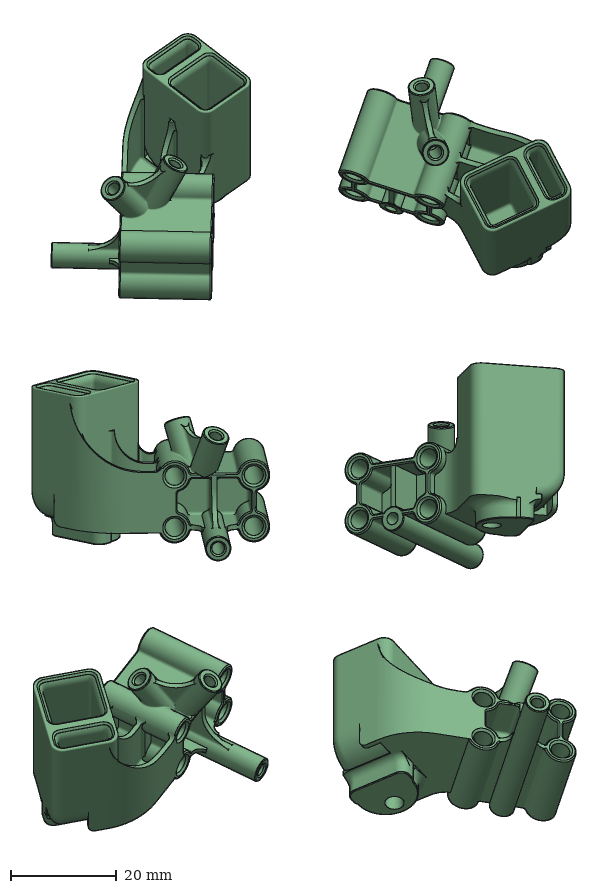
import cadquery as cq
import math

TURN = 30.0

TUBE_LENGTH = 17.5
TUBE_DIAMETER = 6.0
TUBE_RADIUS = TUBE_DIAMETER / 2
TUBE_BORE = 3.6
TUBE_BORE_CHAMFER = 0.45
TUBE_ROWS = 15.0
TUBE_LEVELS = 10.0
WALL = 1.0
FILLET = 0.6
CELL_DEPTH = (TUBE_LENGTH - WALL) / 2
EDGE_CHAMFER = 0.25

NOZZLE_RADIUS = 2.4
NOZZLE_BORE = 2.4
NOZZLE_REACH = 13.0
NOZZLE_Z = -10.95
NOZZLE_Y = -TUBE_ROWS / 2
SMALL_BORE_CHAMFER = 0.3
SMALL_EDGE_CHAMFER = 0.2
RIB_SWEEP = 5.95
RIB_TIP_SINK = 0.05
GUSSET_SWEEP = 2.0

PORT_MID_X = 4.45
PORT_MID_Y = -4.4
PORT_HEADING = 30.0
PORT_TILT = 30.0
PORT_SPREAD = 6.77
PORT_TOP_Z = 8.35
PORT_RADIUS = 2.55
PORT_BASE_FILLET = 0.22
PORT_BORE_DEPTH = 8.9
PORT_RIB_SAG_Z = 6.5
PORT_RIB_RADIUS = 5.35

HEIGHT = 30.0
TOP_Z = HEIGHT / 2
BASE_Z = -10.95
FOOT_Z = -HEIGHT / 2
FLOOR_Z = BASE_Z + WALL

BOX_TURN = -45.0
BOX_LENGTH = 18.45
BOX_WIDTH = 13.05
BOX_CORNER = 2.2
BOX_ROUND = 6.0
BOX_WALL = 1.8
SMALL_POCKET = 2.35
BIG_POCKET = 8.95
POCKET_CORNER = 0.62
LIP_RADIUS = 1.95
LIP_OFFSET = 0.7
LIP_CHAMFER = 0.4
SKIRT_END = 6.25
SKIRT_CORNER = 1.5
HOLE_X = 12.95
HOLE_DIAMETER = 3.6
HOLE_CHAMFER = 0.45

FOOT_LEFT = 6.0
FOOT_CORNER = 1.85
FOOT_STRAIGHT_END = 9.2
FOOT_ARC_X = 9.8
FOOT_ARC_RADIUS = 6.2
FOOT_FILLET = 1.5

OUTER_START_Y = 9.45
OUTER_RADIUS = 14.35
MIDDLE_CENTRE = (16.65, 5.95)
MIDDLE_RADIUS = 9.4
RIGHT_INNER_RADIUS = 6.0
WALL_LOW_Z = 0.85
CAVITY_START_Y = 2.75
WALL_TUBE_FILLET = 1.5
OUTER_RISE_Y = 5.53
MIDDLE_RISE_Y = 4.85
RIGHT_RISE_Y = 3.8
MIDDLE_RISE = 6.0
RIGHT_RISE = 2.25

C45 = math.sqrt(0.5)
OUTER_CENTRE = (OUTER_RADIUS, OUTER_START_Y)
BOX_ORIGIN = (
    OUTER_CENTRE[0] - (OUTER_RADIUS + BOX_CORNER) * C45,
    OUTER_CENTRE[1] + (OUTER_RADIUS - BOX_CORNER) * C45,
)


def box_to_block(along, across):
    """Plan point of the box frame in the block frame."""
    return (BOX_ORIGIN[0] + (along + across) * C45, BOX_ORIGIN[1] + (across - along) * C45)


RIGHT_RADIUS = RIGHT_INNER_RADIUS + WALL
RIGHT_CENTRE = box_to_block(BOX_LENGTH + RIGHT_INNER_RADIUS, BOX_CORNER)


def place_box(shape):
    """Move a shape from the box frame into the block frame."""
    return shape.rotate((0, 0, 0), (0, 0, 1), BOX_TURN).translate((*BOX_ORIGIN, 0))


def on_circle(centre, radius, degrees):
    angle = math.radians(degrees)
    return (centre[0] + radius * math.cos(angle), centre[1] + radius * math.sin(angle))


def tube_fillet(half_web, fillet, radius=TUBE_RADIUS):
    """Fillet between a tube and a web on its axis: tangent point on web, middle, tangent on tube."""
    reach = radius + fillet
    rise = half_web + fillet
    run = math.sqrt(reach**2 - rise**2)
    middle = (math.atan2(-rise, -run) - math.pi / 2) / 2
    on_web = (run, half_web)
    mid_point = (run + fillet * math.cos(middle), rise + fillet * math.sin(middle))
    on_tube = (run * radius / reach, rise * radius / reach)
    return on_web, mid_point, on_tube


def web(length):
    """Web between two tube axes, flared where it meets the tubes; runs along +X of the sketch."""
    half = WALL / 2
    on_web, mid_point, on_tube = tube_fillet(half, FILLET)
    return (
        cq.Workplane("YZ")
        .moveTo(0, on_tube[1])
        .lineTo(*on_tube)
        .threePointArc(mid_point, on_web)
        .lineTo(length - on_web[0], half)
        .threePointArc((length - mid_point[0], mid_point[1]), (length - on_tube[0], on_tube[1]))
        .lineTo(length, on_tube[1])
        .lineTo(length, 0)
        .lineTo(0, 0)
        .close()
        .extrude(TUBE_LENGTH)
    )


def full_web(length, y, z, angle):
    half = web(length)
    return half.union(half.mirror("XY")).rotate((0, 0, 0), (1, 0, 0), angle).translate((0, y, z))


TUBE_AXES = [(y, z) for y in (0, -TUBE_ROWS) for z in (0, -TUBE_LEVELS)]


def tube_frame():
    frame = full_web(TUBE_ROWS, -TUBE_ROWS, 0, 0)
    frame = frame.union(full_web(TUBE_ROWS, -TUBE_ROWS, -TUBE_LEVELS, 0))
    for y in (0, -TUBE_ROWS):
        frame = frame.union(full_web(TUBE_LEVELS, y, -TUBE_LEVELS, 90))
    tubes = cq.Workplane("YZ").pushPoints(TUBE_AXES).circle(TUBE_RADIUS).extrude(TUBE_LENGTH)
    frame = frame.union(tubes).clean()
    return frame.faces("<X or >X").edges().chamfer(EDGE_CHAMFER)


def tube_bores():
    bore = cq.Workplane("YZ").pushPoints(TUBE_AXES).circle(TUBE_BORE / 2).extrude(TUBE_LENGTH)
    mouth = TUBE_BORE / 2 + TUBE_BORE_CHAMFER
    for y, z in TUBE_AXES:
        left = cq.Workplane("YZ", origin=(0, y, z)).circle(mouth).extrude(TUBE_BORE_CHAMFER, taper=45)
        bore = bore.union(left).union(left.mirror("YZ", (TUBE_LENGTH / 2, 0, 0)))
    return bore


def nozzle_axis():
    return cq.Workplane("YZ", origin=(-NOZZLE_REACH, NOZZLE_Y, NOZZLE_Z))


def nozzle():
    length = NOZZLE_REACH + TUBE_LENGTH
    return nozzle_axis().circle(NOZZLE_RADIUS).extrude(length).faces("<X or >X").chamfer(SMALL_EDGE_CHAMFER)


def nozzle_bore():
    bore = nozzle_axis().circle(NOZZLE_BORE / 2).extrude(NOZZLE_REACH + TUBE_LENGTH)
    flare = nozzle_axis().circle(NOZZLE_BORE / 2 + SMALL_BORE_CHAMFER).extrude(SMALL_BORE_CHAMFER, taper=45)
    return bore.union(flare)


def rib_section():
    """Cross-section of the centre rib along the nozzle, flared where it stands on the nozzle."""
    on_web, mid_point, on_tube = tube_fillet(WALL / 2, FILLET, NOZZLE_RADIUS)
    half = (
        cq.Workplane("YZ", origin=(-RIB_SWEEP, NOZZLE_Y, NOZZLE_Z))
        .moveTo(0, 0)
        .lineTo(on_tube[1], 0)
        .lineTo(on_tube[1], on_tube[0])
        .threePointArc((mid_point[1], mid_point[0]), (on_web[1], on_web[0]))
        .lineTo(on_web[1], -NOZZLE_Z)
        .lineTo(0, -NOZZLE_Z)
        .close()
        .extrude(RIB_SWEEP + TUBE_LENGTH - EDGE_CHAMFER)
    )
    return half.union(half.mirror("XZ", (0, NOZZLE_Y, 0)))


def centre_rib():
    """Upright rib from the top web to the nozzle; its left edge sweeps out along the nozzle."""
    tip_z = NOZZLE_Z + NOZZLE_RADIUS - RIB_TIP_SINK
    start_z = tip_z + RIB_SWEEP
    mid = on_circle((-RIB_SWEEP, start_z), RIB_SWEEP, -45)
    side = (
        cq.Workplane("XZ", origin=(0, NOZZLE_Y, 0))
        .moveTo(0, 0)
        .lineTo(0, start_z)
        .threePointArc(mid, (-RIB_SWEEP, tip_z))
        .lineTo(-RIB_SWEEP, NOZZLE_Z)
        .lineTo(TUBE_LENGTH, NOZZLE_Z)
        .lineTo(TUBE_LENGTH, 0)
        .close()
        .extrude(NOZZLE_RADIUS, both=True)
    )
    return side.intersect(rib_section())


def nozzle_gussets():
    """Rounded corners in the lower web's plane between its left edge and the nozzle."""
    gusset = (
        cq.Workplane("XY", origin=(0, NOZZLE_Y, -TUBE_LEVELS))
        .moveTo(0, NOZZLE_RADIUS + GUSSET_SWEEP)
        .threePointArc(
            on_circle((-GUSSET_SWEEP, NOZZLE_RADIUS + GUSSET_SWEEP), GUSSET_SWEEP, -45),
            (-GUSSET_SWEEP, NOZZLE_RADIUS),
        )
        .lineTo(-GUSSET_SWEEP, 0)
        .lineTo(EDGE_CHAMFER, 0)
        .lineTo(EDGE_CHAMFER, NOZZLE_RADIUS + GUSSET_SWEEP)
        .close()
        .extrude(WALL / 2, both=True)
    )
    return gusset.union(gusset.mirror("XZ", (0, NOZZLE_Y, 0)))


def cell(rear_y, front_y):
    """Blind space behind the left end, between two upright webs and the top and bottom webs."""
    half = WALL / 2
    depth = CELL_DEPTH + TUBE_LENGTH
    return (
        cq.Workplane("XY")
        .box(depth, rear_y - front_y - WALL, TUBE_LEVELS - WALL, centered=False)
        .translate((-TUBE_LENGTH, front_y + half, half - TUBE_LEVELS))
        .edges("|X or >X")
        .fillet(FILLET)
    )


def cell_walls():
    """Webs around the cells at the left end, with the cross wall that closes the cells."""
    length = CELL_DEPTH + WALL - EDGE_CHAMFER
    blank = (
        cq.Workplane("XY")
        .box(length, TUBE_ROWS, TUBE_LEVELS, centered=False)
        .translate((EDGE_CHAMFER, -TUBE_ROWS, -TUBE_LEVELS))
    )
    return blank.cut(cell(0, NOZZLE_Y)).cut(cell(NOZZLE_Y, -TUBE_ROWS))


PORT_DROP = PORT_SPREAD / math.tan(math.radians(PORT_TILT))
PORT_REACH = PORT_SPREAD / math.sin(math.radians(PORT_TILT))


def place_port(shape, tilt):
    """Move a shape built along +Z onto the axis of a port leaning by `tilt`."""
    return (
        shape.rotate((0, 0, 0), (0, 1, 0), tilt)
        .translate((0, 0, PORT_TOP_Z - PORT_DROP))
        .rotate((0, 0, 0), (0, 0, 1), PORT_HEADING)
        .translate((PORT_MID_X, PORT_MID_Y, 0))
    )


def ports():
    body = cq.Workplane("XY").circle(PORT_RADIUS).extrude(PORT_REACH)
    body = body.faces(">Z").chamfer(SMALL_EDGE_CHAMFER)
    pair = place_port(body, PORT_TILT).union(place_port(body, -PORT_TILT))
    rib = (
        cq.Workplane("XZ")
        .polyline([(0, 0), (-PORT_SPREAD, PORT_DROP), (PORT_SPREAD, PORT_DROP)])
        .close()
        .extrude(WALL / 2, both=True)
    )
    sag = (
        cq.Workplane("XZ")
        .center(0, PORT_RIB_SAG_Z - PORT_TOP_Z + PORT_DROP + PORT_RIB_RADIUS)
        .circle(PORT_RIB_RADIUS)
        .extrude(WALL, both=True)
    )
    pair = pair.union(place_port(rib.cut(sag), 0))
    above_web = cq.Workplane("XY").box(89.1, 89.1, 44.55, centered=(True, True, False)).translate((0, 0, -WALL / 2))
    pair = pair.intersect(above_web)
    corners = [edge for edge in pair.edges().vals() if is_rib_corner(edge)]
    return pair.newObject(corners).fillet(FILLET)


def is_rib_corner(edge):
    """True for the long straight edges where the rib meets the two ports."""
    return edge.geomType() == "LINE" and edge.Length() > PORT_RADIUS and edge.Center().z > PORT_TOP_Z / 2


def is_port_base(edge):
    """True for the curves where the ports stand on the top web and the rear tube."""
    box = edge.BoundingBox()
    curved = edge.geomType() in ("ELLIPSE", "BSPLINE")
    return curved and box.zmin > WALL / 2 - 0.05 and box.zmax < PORT_TOP_Z / 2 and box.xmax > EDGE_CHAMFER + 0.05


def block_with_ports():
    block = tube_frame().union(cell_walls()).union(ports())
    bases = [edge for edge in block.edges().vals() if is_port_base(edge)]
    return block.newObject(bases).fillet(PORT_BASE_FILLET)


def port_bores():
    bore = cq.Workplane("XY").circle(NOZZLE_BORE / 2).extrude(PORT_BORE_DEPTH)
    flare = (
        cq.Workplane("XY", origin=(0, 0, PORT_BORE_DEPTH - SMALL_BORE_CHAMFER))
        .circle(NOZZLE_BORE / 2)
        .extrude(SMALL_BORE_CHAMFER, taper=-45)
    )
    bore = bore.union(flare).translate((0, 0, PORT_REACH - PORT_BORE_DEPTH))
    return place_port(bore, PORT_TILT).union(place_port(bore, -PORT_TILT))


def wall_plan(centre, radius, inner):
    """Plan of one wall: straight from the rear tubes, then a 45 degree bend into the box."""
    return (
        cq.Workplane("XY", origin=(0, 0, BASE_Z))
        .moveTo(centre[0] - radius, 0)
        .lineTo(centre[0] - radius, centre[1])
        .threePointArc(on_circle(centre, radius, 157.5), on_circle(centre, radius, 135))
        .lineTo(*on_circle(centre, inner, 135))
        .threePointArc(on_circle(centre, inner, 157.5), (centre[0] - inner, centre[1]))
        .lineTo(centre[0] - inner, 0)
        .close()
        .extrude(TOP_Z - BASE_Z)
    )


def wall_side(rise_y, rise):
    """Side profile of a wall: low at the tube, sweeping up a quarter circle at the box."""
    on_web, mid_point, on_tube = tube_fillet(WALL_LOW_Z, WALL_TUBE_FILLET)
    top_z = WALL_LOW_Z + rise
    end_y = rise_y + rise + 2 * BOX_CORNER
    return (
        cq.Workplane("YZ")
        .moveTo(0, BASE_Z)
        .lineTo(0, on_tube[1])
        .lineTo(*on_tube)
        .threePointArc(mid_point, on_web)
        .lineTo(max(rise_y, on_web[0] + 0.005), WALL_LOW_Z)
        .threePointArc(on_circle((rise_y, top_z), rise, -45), (rise_y + rise, top_z))
        .lineTo(end_y, top_z)
        .lineTo(end_y, BASE_Z)
        .close()
        .extrude(2 * TUBE_LENGTH, both=True)
    )


def meet_box_front(centre, radius):
    """Angle at which a wall face reaches the front face of the box."""
    depth = ((centre[0] - BOX_ORIGIN[0]) + (centre[1] - BOX_ORIGIN[1])) * C45
    return 135 + math.degrees(math.asin(depth / radius))


def cavity(left_centre, left_radius, right_centre, right_radius):
    """Space between two walls above the floor, rounded along the floor and in its corners."""
    left_end = meet_box_front(left_centre, left_radius)
    right_end = meet_box_front(right_centre, right_radius)
    right_start = 180 - math.degrees(math.asin(max(0, CAVITY_START_Y - right_centre[1]) / right_radius))
    outline = (
        cq.Workplane("XY", origin=(0, 0, FLOOR_Z))
        .moveTo(left_centre[0] - left_radius, CAVITY_START_Y)
        .lineTo(left_centre[0] - left_radius, left_centre[1])
        .threePointArc(
            on_circle(left_centre, left_radius, (180 + left_end) / 2),
            on_circle(left_centre, left_radius, left_end),
        )
        .lineTo(*on_circle(right_centre, right_radius, right_end))
        .threePointArc(
            on_circle(right_centre, right_radius, (right_start + right_end) / 2),
            on_circle(right_centre, right_radius, right_start),
        )
    )
    if right_centre[1] > CAVITY_START_Y:
        outline = outline.lineTo(right_centre[0] - right_radius, CAVITY_START_Y)
    space = outline.close().extrude(TOP_Z - FLOOR_Z).edges("|Z").fillet(FILLET)
    return space.faces("<Z").edges().fillet(FILLET)


def cavities():
    left = cavity(OUTER_CENTRE, OUTER_RADIUS - WALL, MIDDLE_CENTRE, MIDDLE_RADIUS)
    right = cavity(MIDDLE_CENTRE, MIDDLE_RADIUS - WALL, RIGHT_CENTRE, RIGHT_RADIUS)
    return left.union(right)


def curved_walls():
    """The three walls, each left wide enough for the cavities to shape its inner faces and corners."""
    outer = wall_plan(OUTER_CENTRE, OUTER_RADIUS, OUTER_RADIUS - WALL - FILLET)
    middle = wall_plan(MIDDLE_CENTRE, MIDDLE_RADIUS + FILLET, MIDDLE_RADIUS - WALL - FILLET)
    right = wall_plan(RIGHT_CENTRE, RIGHT_RADIUS + FILLET, RIGHT_INNER_RADIUS)
    outer = outer.intersect(wall_side(OUTER_RISE_Y, TOP_Z - WALL_LOW_Z))
    middle = middle.intersect(wall_side(MIDDLE_RISE_Y, MIDDLE_RISE))
    right = right.intersect(wall_side(RIGHT_RISE_Y, RIGHT_RISE))
    return outer.union(middle).union(right)


def floor_slab():
    right_edge = RIGHT_CENTRE[0] - RIGHT_INNER_RADIUS
    return (
        cq.Workplane("XY", origin=(0, 0, BASE_Z))
        .moveTo(0, 0)
        .lineTo(0, OUTER_START_Y)
        .threePointArc(on_circle(OUTER_CENTRE, OUTER_RADIUS, 157.5), on_circle(OUTER_CENTRE, OUTER_RADIUS, 135))
        .lineTo(*on_circle(RIGHT_CENTRE, RIGHT_INNER_RADIUS, 135))
        .threePointArc(on_circle(RIGHT_CENTRE, RIGHT_INNER_RADIUS, 157.5), (right_edge, RIGHT_CENTRE[1]))
        .lineTo(right_edge, 0)
        .close()
        .extrude(WALL + FILLET)
    )


ROUND_Z = BASE_Z + BOX_ROUND


def round_end():
    """Left end of the box with its rounded lower edge."""
    return (
        cq.Workplane("XZ")
        .moveTo(0, TOP_Z)
        .lineTo(0, ROUND_Z)
        .threePointArc(on_circle((BOX_ROUND, ROUND_Z), BOX_ROUND, 225), (BOX_ROUND, BASE_Z))
        .lineTo(BOX_ROUND, TOP_Z)
        .close()
        .extrude(-BOX_WIDTH)
    )


def box_shell():
    left = round_end().edges("%CIRCLE").fillet(BOX_CORNER)
    right = (
        cq.Workplane("XY", origin=(BOX_ROUND, 0, BASE_Z))
        .box(BOX_LENGTH - BOX_ROUND, BOX_WIDTH, TOP_Z - BASE_Z, centered=False)
        .edges("|Z and >X")
        .fillet(BOX_CORNER)
    )
    return left.union(right).clean().faces(">Z").edges().fillet(EDGE_CHAMFER)


def pocket_prism(left, length, grow, low, high):
    """Rounded upright block over a pocket, its sides moved out by `grow`."""
    return (
        cq.Workplane("XY", origin=(left - grow, BOX_WALL - grow, low))
        .rect(length + 2 * grow, BOX_WIDTH - 2 * BOX_WALL + 2 * grow, centered=False)
        .extrude(high - low)
        .edges("|Z")
        .fillet(POCKET_CORNER + grow)
    )


def lip(left, length):
    """Widened mouth of a pocket: a chamfer, then a convex round that runs into the pocket walls."""
    low = TOP_Z - LIP_RADIUS
    hole = pocket_prism(left, length, 0, low, TOP_Z)
    ring = pocket_prism(left, length, 2 * LIP_RADIUS, low, TOP_Z).cut(hole)
    mouth = ring.faces(">Z").val().innerWires()[0]
    rounded = ring.newObject(mouth.Edges()).fillet(LIP_RADIUS - 0.005)
    opening = pocket_prism(left, length, LIP_OFFSET, low, TOP_Z).cut(rounded)
    step = pocket_prism(left, length, LIP_OFFSET + LIP_CHAMFER, TOP_Z - LIP_CHAMFER, TOP_Z)
    return opening.union(step.faces("<Z").edges().chamfer(LIP_CHAMFER - 0.005))


def pockets():
    big_left = BOX_LENGTH - BOX_WALL - BIG_POCKET
    small = pocket_prism(BOX_WALL, SMALL_POCKET, 0, FLOOR_Z, TOP_Z)
    above_round = (
        cq.Workplane("XZ", origin=(BOX_ROUND, 0, ROUND_Z))
        .circle(BOX_ROUND - WALL)
        .extrude(-BOX_WIDTH)
        .union(cq.Workplane("XY", origin=(0, 0, ROUND_Z)).box(BOX_LENGTH, BOX_WIDTH, TOP_Z - ROUND_Z, centered=False))
    )
    small = small.intersect(above_round)
    big = pocket_prism(big_left, BIG_POCKET, 0, FLOOR_Z, TOP_Z).faces("<Z").edges().fillet(FILLET)
    return small.union(big).union(lip(BOX_WALL, SMALL_POCKET)).union(lip(big_left, BIG_POCKET))


def skirt():
    """Outer wall carried on past the rounded edge of the box."""
    return (
        cq.Workplane("YZ", origin=(0, 0, BASE_Z))
        .moveTo(BOX_CORNER, 0)
        .lineTo(SKIRT_END - SKIRT_CORNER, 0)
        .threePointArc(
            on_circle((SKIRT_END - SKIRT_CORNER, SKIRT_CORNER), SKIRT_CORNER, -45), (SKIRT_END, SKIRT_CORNER)
        )
        .lineTo(SKIRT_END, BOX_ROUND)
        .lineTo(BOX_CORNER, BOX_ROUND)
        .close()
        .extrude(WALL)
    )


def foot_flare(radius):
    """Profile of the material that fillets an upright cylinder of this radius into the base above it."""
    centre = (radius + FOOT_FILLET, BASE_Z - FOOT_FILLET)
    return (
        cq.Workplane("XZ")
        .moveTo(0, centre[1])
        .lineTo(radius, centre[1])
        .threePointArc(on_circle(centre, FOOT_FILLET, 135), (centre[0], BASE_Z))
        .lineTo(centre[0], FLOOR_Z)
        .lineTo(0, FLOOR_Z)
        .close()
    )


def foot():
    half = BOX_WIDTH / 2
    edge = half - FOOT_ARC_RADIUS
    body = (
        cq.Workplane("XY", origin=(0, 0, FOOT_Z))
        .moveTo(FOOT_LEFT, 0)
        .lineTo(FOOT_STRAIGHT_END, 0)
        .lineTo(FOOT_ARC_X, edge)
        .threePointArc((FOOT_ARC_X + FOOT_ARC_RADIUS, half), (FOOT_ARC_X, BOX_WIDTH - edge))
        .lineTo(FOOT_STRAIGHT_END, BOX_WIDTH)
        .lineTo(FOOT_LEFT, BOX_WIDTH)
        .close()
        .extrude(FLOOR_Z - FOOT_Z)
        .edges("|Z and <X")
        .fillet(FOOT_CORNER)
        .faces("<Z")
        .chamfer(SMALL_EDGE_CHAMFER)
    )
    corner_x = FOOT_LEFT + FOOT_CORNER
    side = foot_flare(FOOT_CORNER).extrude(BOX_WIDTH - 2 * FOOT_CORNER).mirror("YZ")
    flares = side.translate((corner_x, BOX_WIDTH - FOOT_CORNER, 0))
    for y in (FOOT_CORNER, BOX_WIDTH - FOOT_CORNER):
        flares = flares.union(foot_flare(FOOT_CORNER).revolve().translate((corner_x, y, 0)))
    flares = flares.intersect(cq.Workplane("XY").box(corner_x, BOX_WIDTH, 89.1, centered=(False, False, True)))
    right = foot_flare(FOOT_ARC_RADIUS).revolve().translate((FOOT_ARC_X, half, 0))
    right_limit = cq.Workplane("XY", origin=(FOOT_ARC_X, 0, 0)).box(
        BOX_LENGTH - FOOT_ARC_X, BOX_WIDTH, 89.1, centered=(False, False, True)
    )
    return body.union(flares).union(right.intersect(right_limit))


def floor_hole():
    radius = HOLE_DIAMETER / 2
    centre = (HOLE_X, BOX_WIDTH / 2)
    hole = cq.Workplane("XY", origin=(*centre, FOOT_Z)).circle(radius).extrude(FLOOR_Z - FOOT_Z)
    flare = (
        cq.Workplane("XY", origin=(*centre, FLOOR_Z - HOLE_CHAMFER))
        .circle(radius)
        .extrude(HOLE_CHAMFER, taper=-45)
    )
    return hole.union(flare)


block = block_with_ports().union(nozzle()).union(centre_rib()).union(nozzle_gussets())
tray = curved_walls().union(floor_slab()).cut(cavities())
box = place_box(box_shell().union(skirt()).union(foot()))
body = tray.union(box).union(block)
body = body.cut(place_box(pockets().union(floor_hole())))
body = body.cut(tube_bores()).cut(nozzle_bore()).cut(port_bores())
result = body.rotate((0, 0, 0), (0, 0, 1), TURN)